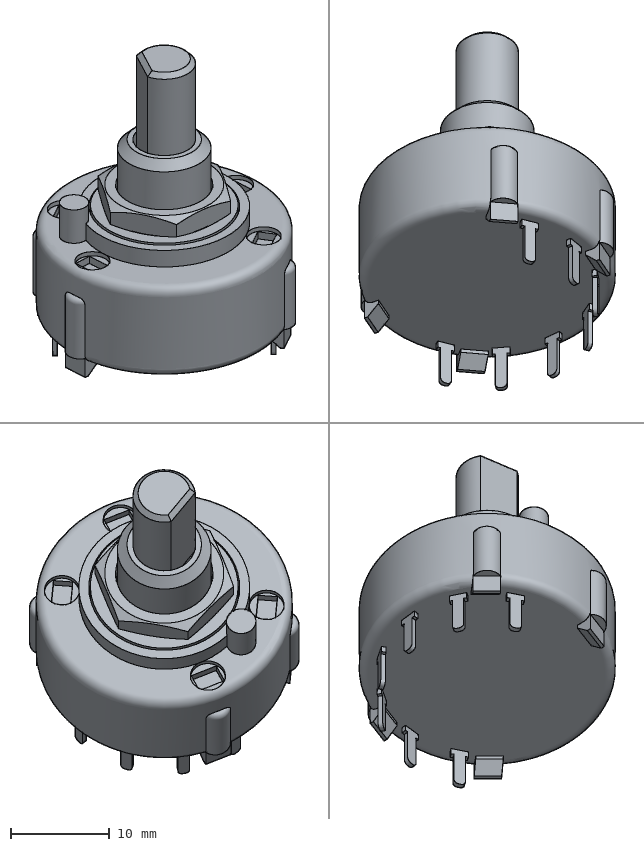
import cadquery as cq
import math

total_height = 35.1
body_bottom = 5.1
body_top = 15.62
ring_top = 17.6
washer_top = 17.73
nut_top = 20.15
bushing_top = 25.52

body_diameter = 26.0
body_face_diameter = 24.0
ring_diameter = 17.35
washer_recess_diameter = 15.3
washer_diameter = 15.0

nut_across_corners = 14.32
nut_turn = -5.5
nut_face_diameter = 12.08
nut_corner_drop = 0.5
nut_bore_diameter = 9.85
bushing_diameter = 9.5
bushing_chamfer = 1.0
shaft_diameter = 6.35
shaft_chamfer = 0.53
shaft_flat_offset = 2.35
shaft_flat_sink = 1.75
flat_bottom = bushing_top - shaft_flat_sink

peg_diameter = 3.0
peg_radius = 9.5
peg_top = 19.6

latch_angles = (60, 120, 240, 300)
latch_width = 2.8
window_radius = 10.43
window_counterbore_diameter = 3.55
window_counterbore_depth = 0.5
window_slot_length = 1.95
window_slot_depth = 0.85
rib_diameter = 3.15
rib_radius = 12.15
rib_top = 12.65
rib_bottom = 5.65
rib_fillet = 0.55
leg_bottom = 3.45
leg_outer_radius = 12.92
leg_depth = 1.65
leg_toe_depth = 0.4
leg_skew = 0.2
leg_slope_top = 4.67

pin_angles = range(75, 256, 30)
pin_radius = 11.1
pin_thickness = 0.5
pin_width = 1.2
pin_shoulder_width = 1.83
pin_shoulder_bottom = 4.32
pin_tip_fillet = 0.5

overlap = 1.05


def cylinder(diameter, bottom, top):
    """Cylinder on the switch axis between two heights."""
    return cq.Workplane("XY").workplane(offset=bottom).circle(diameter / 2).extrude(top - bottom)


def turn(shape, angle):
    """Swing a shape built on the +X axis around the switch axis."""
    return shape.rotate((0, 0, 0), (0, 0, 1), angle)


def make_body():
    """Drum with rounded rims at both ends."""
    rim_fillet = (body_diameter - body_face_diameter) / 2
    drum = cylinder(body_diameter, body_bottom, body_top)
    return drum.faces("<Z or >Z").edges().fillet(rim_fillet)


def make_window():
    """Cutter for a counterbored latch window in the top face."""
    slot_depth = window_counterbore_depth + window_slot_depth
    top_face = cq.Workplane("XY").workplane(offset=body_top).center(window_radius, 0)
    counterbore = top_face.circle(window_counterbore_diameter / 2).extrude(-window_counterbore_depth)
    slot = top_face.rect(window_slot_length, latch_width).extrude(-slot_depth)
    return counterbore.union(slot)


def make_ring_and_washer():
    """Raised ring with a washer standing slightly proud inside it."""
    ring = cylinder(ring_diameter, body_top, ring_top)
    recess = cylinder(washer_recess_diameter, body_top, ring_top)
    washer = cylinder(washer_diameter, body_top, washer_top)
    return ring.cut(recess).union(washer)


def make_nut():
    """Hexagon nut with conical chamfers on both faces and a clearance bore."""
    corner_radius = nut_across_corners / 2
    face_radius = nut_face_diameter / 2
    hexagon = (
        cq.Workplane("XY").workplane(offset=washer_top)
        .polygon(6, nut_across_corners)
        .extrude(nut_top - washer_top)
    )
    envelope = (
        cq.Workplane("XZ")
        .moveTo(0, washer_top)
        .lineTo(face_radius, washer_top)
        .lineTo(corner_radius, washer_top + nut_corner_drop)
        .lineTo(corner_radius, nut_top - nut_corner_drop)
        .lineTo(face_radius, nut_top)
        .lineTo(0, nut_top)
        .close()
        .revolve(360, (0, 0, 0), (0, 1, 0))
    )
    bore = cylinder(nut_bore_diameter, washer_top, nut_top)
    return turn(hexagon.intersect(envelope).cut(bore), nut_turn)


def make_bushing():
    """Bushing chamfered at its top, bored to take the shaft."""
    bushing = cylinder(bushing_diameter, body_top, bushing_top).faces(">Z").chamfer(bushing_chamfer)
    return bushing.cut(cylinder(shaft_diameter, flat_bottom, bushing_top))


def make_shaft():
    """D-shaped shaft with the flat toward -Y and a chamfered end."""
    shaft = cylinder(shaft_diameter, flat_bottom, total_height)
    flat_cutter = (
        cq.Workplane("XY").workplane(offset=flat_bottom)
        .center(0, -shaft_flat_offset - shaft_diameter / 2)
        .rect(2 * shaft_diameter, shaft_diameter)
        .extrude(total_height - flat_bottom)
    )
    return shaft.cut(flat_cutter).faces(">Z").chamfer(shaft_chamfer)


def make_peg():
    """Anti-rotation peg on the -Y side of the top face."""
    return cylinder(peg_diameter, body_top - overlap, peg_top).translate((0, -peg_radius, 0))


def make_latch(skew):
    """Rounded rib on the drum side with a skewed, hooked leg below it."""
    rib = (
        cylinder(rib_diameter, rib_bottom, rib_top)
        .faces(">Z").edges().fillet(rib_fillet)
        .translate((rib_radius, 0, 0))
    )
    leg_inner_radius = leg_outer_radius - leg_depth
    hook_profile = (
        cq.Workplane("XZ")
        .moveTo(leg_outer_radius, rib_bottom)
        .lineTo(leg_outer_radius, leg_bottom)
        .lineTo(leg_outer_radius - leg_toe_depth, leg_bottom)
        .lineTo(leg_inner_radius, leg_slope_top)
        .lineTo(leg_inner_radius, rib_bottom)
        .close()
        .extrude(latch_width, both=True)
    )
    half_width = latch_width / 2
    skewed_plan = (
        cq.Workplane("XY").workplane(offset=leg_bottom)
        .moveTo(leg_outer_radius, -half_width)
        .lineTo(leg_outer_radius, half_width)
        .lineTo(leg_inner_radius, half_width - skew)
        .lineTo(leg_inner_radius, -half_width - skew)
        .close()
        .extrude(rib_bottom - leg_bottom)
    )
    leg = hook_profile.intersect(skewed_plan)
    return rib.union(leg)


def make_pin():
    """Flat terminal with a wider shoulder under the drum and a rounded tip."""
    top = body_bottom + overlap
    blade = (
        cq.Workplane("XY").rect(pin_thickness, pin_width).extrude(top)
        .faces("<Z").edges("|X").fillet(pin_tip_fillet)
    )
    shoulder = (
        cq.Workplane("XY").workplane(offset=pin_shoulder_bottom)
        .rect(pin_thickness, pin_shoulder_width)
        .extrude(top - pin_shoulder_bottom)
    )
    return blade.union(shoulder).translate((pin_radius, 0, 0))


result = make_body()
for angle in latch_angles:
    result = result.cut(turn(make_window(), angle))
for feature in (make_ring_and_washer(), make_nut(), make_bushing(), make_shaft(), make_peg()):
    result = result.union(feature)
for angle in latch_angles:
    hand = math.copysign(1, math.sin(math.radians(2 * angle)))
    result = result.union(turn(make_latch(hand * leg_skew), angle))
for angle in pin_angles:
    result = result.union(turn(make_pin(), angle))